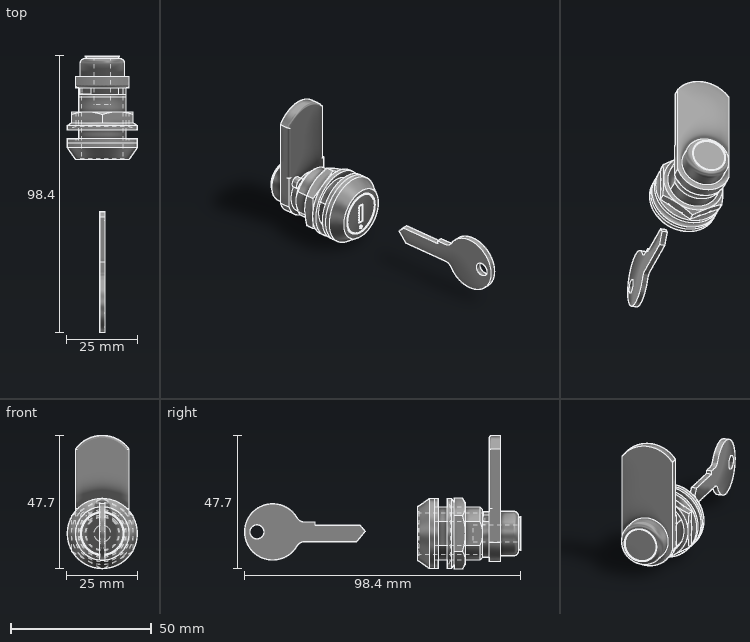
import cadquery as cq
import math


head_radius = 12.5
face_radius = 9.6
bezel_depth = 4.2
head_depth = 6.0
thread_radius = 9.5
flat_distance = 8.5
housing_end = 23.2
end_chamfer = 1.0
face_recess_radius = 7.8
face_recess_depth = 0.5

gasket_end = 7.5

washer_start = 10.5
washer_rim = 1.6
washer_end = 13.1
washer_seat_radius = 11.0
washer_dish_depth = 1.3
nut_end = 17.0
nut_across_flats = 22.0
nut_chamfer_angle = 30
nut_turn = 30

plug_radius = 7.4
collar_radius = 8.5
collar_end = 25.5
notch_radius = 6.6
notch_start_angle = 30
keyway_width = 2.0
keyway_height = 7.0
keyway_depth = 0.4
mark_diameter = 1.3
mark_z = -5.6
mark_depth = keyway_depth

stop_start = 23.4
stop_x = -5.9
stop_z = 5.8
stop_radius = 2.0

cam_end = 29.6
cam_half_width = 9.6
cam_heel_radius = 10.0
cam_shoulder_z = 30.0
cam_tip_z = 35.0
cam_fillet = 1.0
cam_fillet_bottom_z = 8.9

cap_radius = 8.0
cap_end = 36.0
cap_fillet = 1.9
screw_end = 36.9
screw_head_radius = 6.1
screw_head_thickness = 0.4
screw_neck_radius = 5.8
screw_shank_radius = 3.0
screw_tip = 19.7

key_thickness = 2.0
bow_radius = 10.0
key_end_y = -61.55
bow_y = key_end_y + bow_radius
bow_z = 0.6
bow_hole_radius = 2.5
bow_hole_y = -57.1
blade_half_height = 3.0
shoulder_z = 4.1
shoulder_y = -36.4
neck_fillet = 3.0
key_tip_y = -18.5
key_tip_z = 0.8
tip_top_y = -20.4
tip_bottom_y = -21.7


def turned(points):
    """Revolve an outline of (radius, Y) points about the lock axis."""
    return cq.Workplane("XY").polyline(points).close().revolve(360, (0, 0, 0), (0, 1, 0))


def rod(radius, start, end, x=0, z=0):
    """Round bar parallel to the lock axis, from Y = start to Y = end."""
    return cq.Workplane("XZ", origin=(x, start, z)).circle(radius).extrude(start - end)


def ring(outer_radius, inner_radius, start, end):
    return rod(outer_radius, start, end).cut(rod(inner_radius, start, end))


def make_housing():
    head = turned([
        (0, 0),
        (face_radius, 0),
        (head_radius, bezel_depth),
        (head_radius, head_depth),
        (0, head_depth),
    ])
    sleeve = turned([
        (0, head_depth),
        (thread_radius, head_depth),
        (thread_radius, housing_end - end_chamfer),
        (thread_radius - end_chamfer, housing_end),
        (0, housing_end),
    ])
    sleeve_length = housing_end - head_depth
    flats = cq.Workplane("XY").box(2 * flat_distance, sleeve_length, 2 * thread_radius)
    sleeve = sleeve.intersect(flats.translate((0, head_depth + sleeve_length / 2, 0)))
    housing = head.union(sleeve).cut(rod(face_recess_radius, 0, face_recess_depth))
    return housing.cut(rod(plug_radius, 0, housing_end))


def make_gasket():
    return ring(head_radius, thread_radius, head_depth, gasket_end)


def make_washer():
    rim_end = washer_start + washer_rim
    return turned([
        (thread_radius, washer_start + washer_dish_depth),
        (head_radius, washer_start),
        (head_radius, rim_end),
        (washer_seat_radius, washer_end),
        (thread_radius, washer_end),
    ])


def make_nut():
    corner_radius = nut_across_flats / 2 / math.cos(math.pi / 6)
    hexagon = (
        cq.Workplane("XZ", origin=(0, washer_end, 0))
        .polygon(6, 2 * corner_radius)
        .extrude(washer_end - nut_end)
        .rotate((0, 0, 0), (0, 1, 0), nut_turn)
    )
    chamfer_start_radius = nut_across_flats / 2
    chamfer_depth = (corner_radius - chamfer_start_radius) * math.tan(math.radians(nut_chamfer_angle))
    cone = turned([
        (0, washer_end),
        (corner_radius, washer_end),
        (corner_radius, nut_end - chamfer_depth),
        (chamfer_start_radius, nut_end),
        (0, nut_end),
    ])
    return hexagon.intersect(cone).cut(rod(thread_radius, washer_end, nut_end))


def make_plug():
    plug = rod(plug_radius, 0, housing_end).union(rod(collar_radius, housing_end, collar_end))
    stop_angle = math.degrees(math.atan2(stop_z, stop_x))
    reach = 2 * collar_radius
    corners = [(0, 0)]
    for angle in (notch_start_angle, (notch_start_angle + stop_angle) / 2, stop_angle):
        corners.append((reach * math.cos(math.radians(angle)), reach * math.sin(math.radians(angle))))
    notch = (
        cq.Workplane("XZ", origin=(0, housing_end, 0))
        .polyline(corners).close()
        .extrude(housing_end - collar_end)
        .cut(rod(notch_radius, housing_end, collar_end))
    )
    keyway = cq.Workplane("XY").box(keyway_width, 2 * keyway_depth, keyway_height)
    plug = plug.cut(notch).union(rod(stop_radius, stop_start, collar_end, stop_x, stop_z))
    plug = plug.cut(keyway).cut(rod(mark_diameter / 2, 0, mark_depth, 0, mark_z))
    return plug.cut(rod(screw_shank_radius, screw_tip, collar_end))


def make_cam():
    heel_z = -math.sqrt(cam_heel_radius**2 - cam_half_width**2)
    plate = (
        cq.Workplane("XZ", origin=(0, collar_end, 0))
        .moveTo(-cam_half_width, heel_z)
        .threePointArc((0, -cam_heel_radius), (cam_half_width, heel_z))
        .lineTo(cam_half_width, cam_shoulder_z)
        .threePointArc((0, cam_tip_z), (-cam_half_width, cam_shoulder_z))
        .close()
        .extrude(collar_end - cam_end)
    )
    split = plate.copyWorkplane(cq.Workplane("XY", origin=(0, 0, cam_fillet_bottom_z))).split(True, True)
    blade = split.solids(">Z")
    heel = split.solids("<Z")
    blade = cq.Workplane(blade.val()).faces("<Y").edges("not <Z").fillet(cam_fillet)
    heel = cq.Workplane(heel.val())
    return heel.union(blade).cut(rod(screw_shank_radius, collar_end, cam_end))


def make_cap():
    return (
        rod(cap_radius, cam_end, cap_end)
        .faces(">Y").edges().fillet(cap_fillet)
        .cut(rod(screw_shank_radius, cam_end, cap_end))
    )


def make_screw():
    neck_end = screw_end - screw_head_thickness
    head = rod(screw_head_radius, neck_end, screw_end)
    neck = rod(screw_neck_radius, cap_end, neck_end)
    shank = rod(screw_shank_radius, screw_tip, cap_end)
    return head.union(neck).union(shank)


def make_key():
    bow = cq.Workplane("YZ").center(bow_y, bow_z).circle(bow_radius).extrude(key_thickness / 2, both=True)
    blade = (
        cq.Workplane("YZ")
        .polyline([
            (bow_y, -blade_half_height),
            (tip_bottom_y, -blade_half_height),
            (key_tip_y, key_tip_z),
            (tip_top_y, blade_half_height),
            (shoulder_y, blade_half_height),
            (shoulder_y, shoulder_z),
            (bow_y, shoulder_z),
        ])
        .close()
        .extrude(key_thickness / 2, both=True)
    )
    key = bow.union(blade)
    for neck_z in (-blade_half_height, shoulder_z):
        neck_y = bow_y + math.sqrt(bow_radius**2 - (neck_z - bow_z) ** 2)
        corner = cq.selectors.NearestToPointSelector((0, neck_y, neck_z))
        key = key.edges("|X").edges(corner).fillet(neck_fillet)
    hole = cq.Workplane("YZ").center(bow_hole_y, bow_z).circle(bow_hole_radius)
    return key.cut(hole.extrude(key_thickness, both=True))


housing = make_housing()
gasket = make_gasket()
washer = make_washer()
nut = make_nut()
plug = make_plug()
cam = make_cam()
cap = make_cap()
screw = make_screw()
key = make_key()

result = cq.Compound.makeCompound([
    housing.val(),
    gasket.val(),
    washer.val(),
    nut.val(),
    plug.val(),
    cam.val(),
    cap.val(),
    screw.val(),
    key.val(),
])